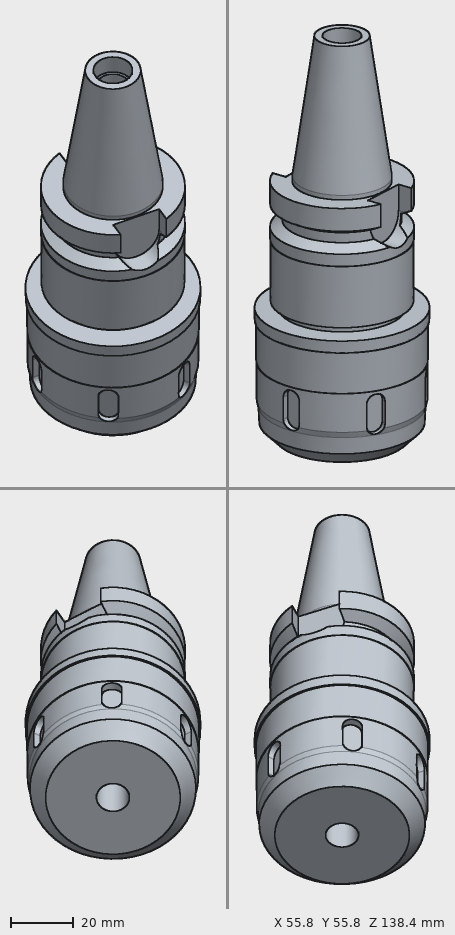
import cadquery as cq

total_height = 138.4
nose_chamfer_top = 5.0
nose_band_top = 10.8
nut_bevel_top = 12.9
nut_grip_top = 26.2
nut_top = 40.4
collar_top = 44.5
neck_top = 47.0
body_top = 68.2
shoulder_band_top = 72.5
groove_bottom = 74.9
groove_top = 78.3
flange_bevel_top = 80.4
flange_top = 88.3
taper_start = 90.0

nose_face_radius = 21.5
nose_radius = 26.5
nose_band_radius = 26.7
nut_grip_radius = 27.3
nut_radius = 27.4
collar_radius = 27.89
neck_radius = 20.3
body_radius = 22.8
flange_radius = 23.0
groove_radius = 19.1
taper_base_radius = 15.9
taper_tip_radius = 8.9

bore_radius = 5.3
tip_bore_radius = 6.2
tip_bore_depth = 6.5

drive_slot_width = 16.3
drive_slot_floor = 16.3
drive_slot_bottom = 71.1

wrench_slot_count = 6
wrench_slot_width = 6.4
wrench_slot_bottom = 11.1
wrench_slot_top = 25.0
wrench_slot_floor = 24.8

cut_margin = 6.9


def turned_body():
    profile = [
        (0, 0),
        (nose_face_radius, 0),
        (nose_radius, nose_chamfer_top),
        (nose_band_radius, nose_band_top),
        (nut_grip_radius, nut_bevel_top),
        (nut_grip_radius, nut_grip_top),
        (nut_radius, nut_grip_top),
        (nut_radius, nut_top),
        (collar_radius, nut_top),
        (collar_radius, collar_top),
        (neck_radius, collar_top),
        (neck_radius, neck_top),
        (body_radius, neck_top),
        (body_radius, body_top),
        (flange_radius, body_top),
        (flange_radius, shoulder_band_top),
        (groove_radius, groove_bottom),
        (groove_radius, groove_top),
        (flange_radius, flange_bevel_top),
        (flange_radius, flange_top),
        (taper_base_radius, flange_top),
        (taper_base_radius, taper_start),
        (taper_tip_radius, total_height),
        (0, total_height),
    ]
    return cq.Workplane("XZ").polyline(profile).close().revolve(360, (0, 0), (0, 1))


def bores():
    through = cq.Workplane("XY").circle(bore_radius).extrude(total_height)
    tip = (
        cq.Workplane("XY", origin=(0, 0, total_height - tip_bore_depth))
        .circle(tip_bore_radius)
        .extrude(tip_bore_depth)
    )
    return through.union(tip)


def drive_slot():
    """Round-bottomed slot on the +X side, open at the flange top."""
    half_width = drive_slot_width / 2
    arc_center = drive_slot_bottom + half_width
    return (
        cq.Workplane("YZ", origin=(drive_slot_floor, 0, 0))
        .moveTo(-half_width, flange_top)
        .lineTo(-half_width, arc_center)
        .threePointArc((0, drive_slot_bottom), (half_width, arc_center))
        .lineTo(half_width, flange_top)
        .close()
        .extrude(flange_radius - drive_slot_floor + cut_margin)
    )


def wrench_slot():
    """Upright flat-floored slot with round ends on the +X side of the nut."""
    middle = (wrench_slot_bottom + wrench_slot_top) / 2
    return (
        cq.Workplane("YZ", origin=(wrench_slot_floor, 0, middle))
        .slot2D(wrench_slot_top - wrench_slot_bottom, wrench_slot_width, 90)
        .extrude(nut_radius - wrench_slot_floor + cut_margin)
    )


def turned_about_axis(shape, angle):
    return shape.rotate((0, 0, 0), (0, 0, 1), angle)


result = turned_body().cut(bores())

for side_angle in (0, 180):
    result = result.cut(turned_about_axis(drive_slot(), side_angle))

for index in range(wrench_slot_count):
    slot_angle = -90 + index * 360 / wrench_slot_count
    result = result.cut(turned_about_axis(wrench_slot(), slot_angle))